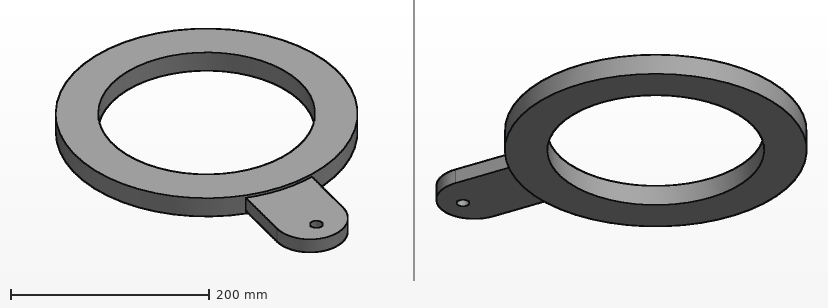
import cadquery as cq

overall_length = 401.5
ring_diameter = 304.8
bore_diameter = 219.0
ring_thickness = 22.5

handle_width = 76.5
handle_thickness = 16.0
hang_hole_diameter = 13.0
hang_hole_to_tip = 25.3

ring_radius = ring_diameter / 2
handle_tip_x = overall_length - ring_radius
handle_end_radius = handle_width / 2
handle_arc_x = handle_tip_x - handle_end_radius
hang_hole_x = handle_tip_x - hang_hole_to_tip


def centred_disc(diameter, thickness, x=0.0):
    """Disc with its axis along Z, centred on the mid-plane Z = 0."""
    return cq.Workplane("XY").center(x, 0).circle(diameter / 2).extrude(thickness / 2, both=True)


def handle():
    """Flat tab with a fully rounded tip, running outward from the ring axis."""
    return (
        cq.Workplane("XY")
        .moveTo(0, -handle_end_radius)
        .lineTo(handle_arc_x, -handle_end_radius)
        .threePointArc((handle_tip_x, 0), (handle_arc_x, handle_end_radius))
        .lineTo(0, handle_end_radius)
        .close()
        .extrude(handle_thickness / 2, both=True)
    )


body = centred_disc(ring_diameter, ring_thickness).union(handle())
bore = centred_disc(bore_diameter, ring_thickness)
hang_hole = centred_disc(hang_hole_diameter, handle_thickness, hang_hole_x)

result = body.cut(bore).cut(hang_hole)